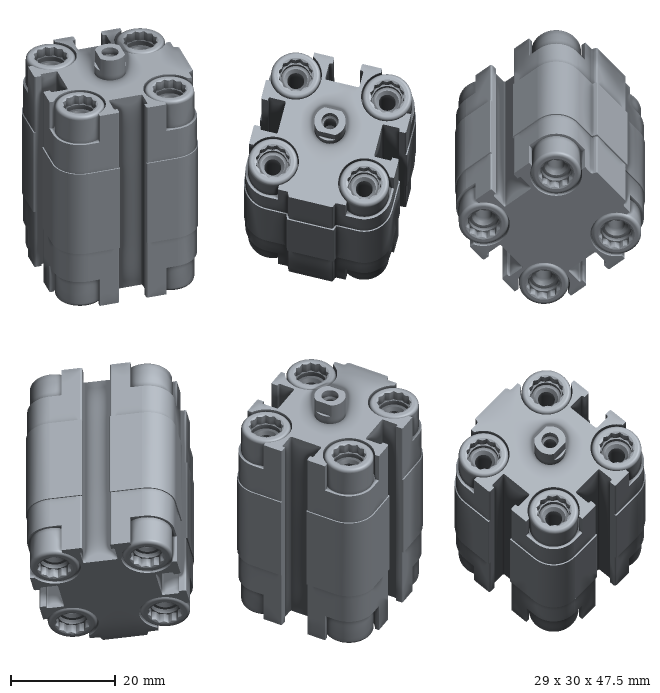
import cadquery as cq
import math

BODY_WIDTH = 29.0
BARREL_LENGTH = 18.0
CAP_LENGTH = 12.5
BODY_HEIGHT = BARREL_LENGTH + 2 * CAP_LENGTH
CAP_INSET = 0.25
BARREL_EDGE_RADIUS = 0.15
CAP_EDGE_RADIUS = 0.35

RAIL_HEIGHT = 1.0
RAIL_FOOT_WIDTH = 9.9
RAIL_CROWN_WIDTH = 9.1

SLOT_MOUTH_WIDTH = 5.4
SLOT_WIDTH = 6.75
SLOT_FLOOR = 9.5
SLOT_LIP = 12.9
SLOT_CORNER_RADIUS = 0.3
SLOT_TURNS = (0, 90, -90)

SCREW_PITCH = 18.0
POCKET_DEPTH = 6.0
POCKET_DIAMETER = 9.98
POCKET_WALL_OFFSET = 2.35
HEAD_DIAMETER = 9.5
HEAD_EDGE_RADIUS = 0.7
BORE_DIAMETER = 3.25

SOCKET_ACROSS_FLATS = 5.8
SOCKET_DEPTH = 2.0
SOCKET_RIM_DIAMETER = 6.95
SOCKET_RIM_DEPTH = 0.25
RELIEF_DIAMETER = 5.7
RELIEF_FLOOR = 2.95
FUNNEL_DIAMETER = 4.45

ROD_DIAMETER = 6.0
ROD_TOP = 47.5
ROD_FLATS_WIDTH = 5.0
ROD_FLATS_LENGTH = 2.7
ROD_COUNTERBORE_DIAMETER = 3.3
ROD_COUNTERBORE_DEPTH = 1.5
ROD_HOLE_DIAMETER = 2.45
ROD_HOLE_DEPTH = 6.0
DRILL_POINT_ANGLE = 118

SCREW_OFFSET = SCREW_PITCH / 2
SCREW_PLACES = [(sx * SCREW_OFFSET, sy * SCREW_OFFSET) for sx in (-1, 1) for sy in (-1, 1)]


def fillet_upright_edges(solid, places, mid_height, radius):
    """Round the vertical edges that stand at the given (x, y) places."""
    for x, y in places:
        nearest = cq.selectors.NearestToPointSelector((x, y, mid_height))
        solid = solid.edges("|Z").edges(nearest).fillet(radius)
    return solid


def turn(places, degrees):
    """Turn (x, y) places about the body axis."""
    c = math.cos(math.radians(degrees))
    s = math.sin(math.radians(degrees))
    return [(x * c - y * s, x * s + y * c) for x, y in places]


def slot_cutter(length):
    """T-slot for the -Y face, with rounded inner corners."""
    cavity = (
        cq.Workplane("XY")
        .center(0, -(SLOT_FLOOR + SLOT_LIP) / 2)
        .rect(SLOT_WIDTH, SLOT_LIP - SLOT_FLOOR)
        .extrude(length)
        .edges("|Z")
        .fillet(SLOT_CORNER_RADIUS)
    )
    mouth = (
        cq.Workplane("XY")
        .center(0, -(SLOT_FLOOR + BODY_WIDTH) / 2)
        .rect(SLOT_MOUTH_WIDTH, BODY_WIDTH - SLOT_FLOOR)
        .extrude(length)
    )
    return cavity.union(mouth)


def body_section(bottom, length, inset, edge_radius):
    """One length of the body, with its outer faces moved in by the inset."""
    face = BODY_WIDTH / 2 - inset
    half_foot = RAIL_FOOT_WIDTH / 2 - inset
    half_crown = RAIL_CROWN_WIDTH / 2 - inset
    crown = face + RAIL_HEIGHT

    section = (
        cq.Workplane("XY")
        .rect(2 * face, 2 * face)
        .extrude(length)
        .edges("|Z")
        .fillet(face - SCREW_OFFSET)
    )
    rail = (
        cq.Workplane("XY")
        .polyline([
            (-half_foot, 0),
            (-half_foot, face),
            (-half_crown, crown),
            (half_crown, crown),
            (half_foot, face),
            (half_foot, 0),
        ])
        .close()
        .extrude(length)
    )
    section = section.union(rail)
    for degrees in SLOT_TURNS:
        section = section.cut(slot_cutter(length).rotate((0, 0, 0), (0, 0, 1), degrees))

    sharp_edges = [(-half_foot, face), (half_foot, face), (-half_crown, crown), (half_crown, crown)]
    slot_mouth = [(-SLOT_MOUTH_WIDTH / 2, -face), (SLOT_MOUTH_WIDTH / 2, -face)]
    for degrees in SLOT_TURNS:
        sharp_edges += turn(slot_mouth, degrees)
    section = fillet_upright_edges(section, sharp_edges, length / 2, edge_radius)
    return section.translate((0, 0, bottom))


def corner_pocket(x, y):
    """Pocket in the top end: a round recess opened squarely to the outer corner."""
    floor = BODY_HEIGHT - POCKET_DEPTH
    square = BODY_WIDTH / 2
    centre_shift = square / 2 - POCKET_WALL_OFFSET
    recess = cq.Workplane("XY").circle(POCKET_DIAMETER / 2).extrude(POCKET_DEPTH)
    opening = (
        cq.Workplane("XY")
        .center(math.copysign(centre_shift, x), math.copysign(centre_shift, y))
        .rect(square, square)
        .extrude(POCKET_DEPTH)
    )
    return recess.union(opening).translate((x, y, floor))


def twelve_point_socket():
    """Socket cutter for a head whose face lies at Z = 0, down to the bore."""
    tip_diameter = SOCKET_ACROSS_FLATS / math.cos(math.radians(30))
    hexagon = cq.Workplane("XY").polygon(6, tip_diameter).extrude(-SOCKET_DEPTH)
    teeth = hexagon.union(hexagon.rotate((0, 0, 0), (0, 0, 1), 30))
    rim = SOCKET_RIM_DIAMETER / 2
    relief = RELIEF_DIAMETER / 2
    funnel = FUNNEL_DIAMETER / 2
    bore = BORE_DIAMETER / 2
    round_part = (
        cq.Workplane("XZ")
        .polyline([
            (0, 0),
            (rim, 0),
            (relief, -SOCKET_RIM_DEPTH),
            (relief, -RELIEF_FLOOR),
            (funnel, -RELIEF_FLOOR),
            (bore, -RELIEF_FLOOR - (funnel - bore)),
            (0, -RELIEF_FLOOR - (funnel - bore)),
        ])
        .close()
        .revolve(360, (0, 0), (0, 1))
    )
    return teeth.union(round_part)


def screw_head(x, y):
    """Round head standing on the pocket floor, level with the top end."""
    head = (
        cq.Workplane("XY")
        .circle(HEAD_DIAMETER / 2)
        .extrude(-POCKET_DEPTH)
        .faces(">Z")
        .edges()
        .fillet(HEAD_EDGE_RADIUS)
        .cut(twelve_point_socket())
    )
    return head.translate((x, y, BODY_HEIGHT))


def mirror_to_bottom(shape):
    return shape.mirror("XY", (0, 0, BODY_HEIGHT / 2))


def make_housing():
    lower_cap = body_section(0, CAP_LENGTH, CAP_INSET, CAP_EDGE_RADIUS)
    barrel = body_section(CAP_LENGTH, BARREL_LENGTH, 0, BARREL_EDGE_RADIUS)
    upper_cap = body_section(CAP_LENGTH + BARREL_LENGTH, CAP_LENGTH, CAP_INSET, CAP_EDGE_RADIUS)
    housing = lower_cap.union(barrel).union(upper_cap)

    for x, y in SCREW_PLACES:
        pocket = corner_pocket(x, y)
        head = screw_head(x, y)
        housing = housing.cut(pocket).cut(mirror_to_bottom(pocket))
        housing = housing.union(head).union(mirror_to_bottom(head))

    bores = cq.Workplane("XY").pushPoints(SCREW_PLACES).circle(BORE_DIAMETER / 2).extrude(BODY_HEIGHT)
    rod_guide = (
        cq.Workplane("XY")
        .workplane(offset=BODY_HEIGHT - CAP_LENGTH)
        .circle(ROD_DIAMETER / 2)
        .extrude(CAP_LENGTH)
    )
    return housing.cut(bores).cut(rod_guide)


def rod_hole():
    """Counterbored blind hole with conical shoulder and end, its mouth at Z = 0."""
    wide = ROD_COUNTERBORE_DIAMETER / 2
    narrow = ROD_HOLE_DIAMETER / 2
    shoulder = ROD_COUNTERBORE_DEPTH + wide - narrow
    point = ROD_HOLE_DEPTH + narrow / math.tan(math.radians(DRILL_POINT_ANGLE / 2))
    return (
        cq.Workplane("XZ")
        .polyline([
            (0, 0),
            (wide, 0),
            (wide, -ROD_COUNTERBORE_DEPTH),
            (narrow, -shoulder),
            (narrow, -ROD_HOLE_DEPTH),
            (0, -point),
        ])
        .close()
        .revolve(360, (0, 0), (0, 1))
    )


def make_rod():
    """Piston rod, running through the upper cap, with two wrench flats facing -Y and +Y."""
    rod_bottom = BODY_HEIGHT - CAP_LENGTH
    rod = (
        cq.Workplane("XY")
        .workplane(offset=rod_bottom)
        .circle(ROD_DIAMETER / 2)
        .extrude(ROD_TOP - rod_bottom)
    )
    for side in (-1, 1):
        flat = (
            cq.Workplane("XY")
            .workplane(offset=ROD_TOP - ROD_FLATS_LENGTH)
            .center(0, side * (ROD_FLATS_WIDTH + ROD_DIAMETER) / 2)
            .rect(ROD_DIAMETER, ROD_DIAMETER)
            .extrude(ROD_FLATS_LENGTH)
        )
        rod = rod.cut(flat)
    return rod.cut(rod_hole().translate((0, 0, ROD_TOP)))


housing = make_housing()
rod = make_rod()

result = cq.Compound.makeCompound([housing.val(), rod.val()])